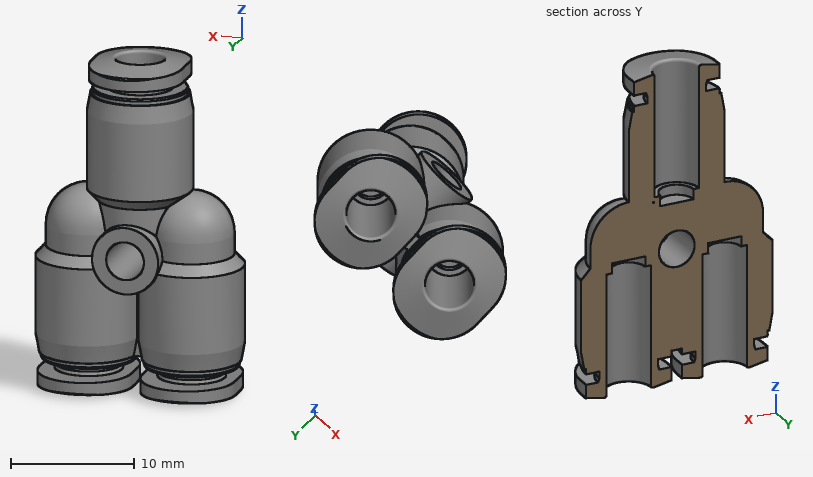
import cadquery as cq

height = 28.0
body_diameter = 8.68
leg_spacing = 8.7
body_radius = body_diameter / 2

collar_length = 9.8
collar_width = 7.78
collar_depth = 1.55
collar_cone_drop = 0.48
collar_edge_width = 0.17
collar_edge_drop = 0.62
neck_radius = 5.38 / 2
neck_flare_radius = 5.6 / 2
neck_flare_depth = 1.88

mouth_depth = 2.45
lip_depth = 2.6
taper_depth = 2.95
barrel_depth = 4.45
shoulder_depth = 10.98
shank_depth = 11.87
mouth_radius = 3.85
lip_radius = 3.92
taper_radius = 4.05
shank_radius = 3.5

bore_radius = 3.98 / 2
bore_rounding = 0.25
bore_mouth_radius = bore_radius + bore_rounding
stop_radius = 3.0 / 2
bore_depth = shoulder_depth
stop_depth = shank_depth

dome_center = 13.58
boss_diameter = 5.6
boss_length = 8.7
boss_hole_diameter = 3.2
boss_height = 11.98
web_thickness = 1.4
web_width = 2.8
web_bottom = taper_depth


def collar():
    """Oval plate, with a bevelled conical outer face at Z = 0."""
    plate = cq.Workplane("XY").slot2D(collar_length, collar_width, 90).extrude(collar_depth)
    cone = (
        cq.Workplane("XZ")
        .moveTo(0, 0)
        .lineTo(bore_mouth_radius, 0)
        .lineTo(collar_length / 2 - collar_edge_width, collar_cone_drop)
        .lineTo(collar_length / 2, collar_edge_drop)
        .lineTo(collar_length / 2, collar_depth)
        .lineTo(0, collar_depth)
        .close()
        .revolve(360, (0, 0), (0, 1))
    )
    return plate.intersect(cone)


def port_body():
    """Revolved neck, lip, tapered barrel, shank and domed end."""
    return (
        cq.Workplane("XZ")
        .moveTo(0, collar_depth)
        .lineTo(neck_flare_radius, collar_depth)
        .lineTo(neck_radius, neck_flare_depth)
        .lineTo(neck_radius, mouth_depth)
        .lineTo(mouth_radius, mouth_depth)
        .lineTo(lip_radius, lip_depth)
        .lineTo(lip_radius, taper_depth)
        .lineTo(taper_radius, taper_depth)
        .lineTo(body_radius, barrel_depth)
        .lineTo(body_radius, shoulder_depth)
        .lineTo(shank_radius, shank_depth)
        .lineTo(shank_radius, dome_center)
        .radiusArc((0, dome_center + shank_radius), -shank_radius)
        .close()
        .revolve(360, (0, 0), (0, 1))
    )


def socket():
    """Stepped blind bore with a rounded mouth at Z = 0."""
    return (
        cq.Workplane("XZ")
        .lineTo(bore_mouth_radius, 0)
        .radiusArc((bore_radius, bore_rounding), bore_rounding)
        .lineTo(bore_radius, bore_depth)
        .lineTo(stop_radius, bore_depth)
        .lineTo(stop_radius, stop_depth)
        .lineTo(0, stop_depth)
        .close()
        .revolve(360, (0, 0), (0, 1))
    )


def cross_cylinder(diameter):
    """Cylinder along Y through the middle of the junction."""
    return (
        cq.Workplane("XZ")
        .center(0, boss_height)
        .circle(diameter / 2)
        .extrude(boss_length / 2, both=True)
    )


def place_top(shape):
    """Turn a port over so that its mouth faces up at full height."""
    return shape.rotate((0, 0, 0), (1, 0, 0), 180).translate((0, 0, height))


port = collar().union(port_body())
right_leg = port.translate((leg_spacing / 2, 0, 0))
left_leg = right_leg.rotate((0, 0, 0), (0, 0, 1), 180)
result = place_top(port).union(right_leg).union(left_leg)

web_height = boss_height - web_bottom
web = cq.Workplane("XY").box(web_width, web_thickness, web_height, centered=(True, True, False))
result = result.union(web.translate((0, 0, web_bottom)))
result = result.union(cross_cylinder(boss_diameter))

for side in (-1, 1):
    result = result.cut(socket().translate((side * leg_spacing / 2, 0, 0)))
result = result.cut(place_top(socket()))
result = result.cut(cross_cylinder(boss_hole_diameter))